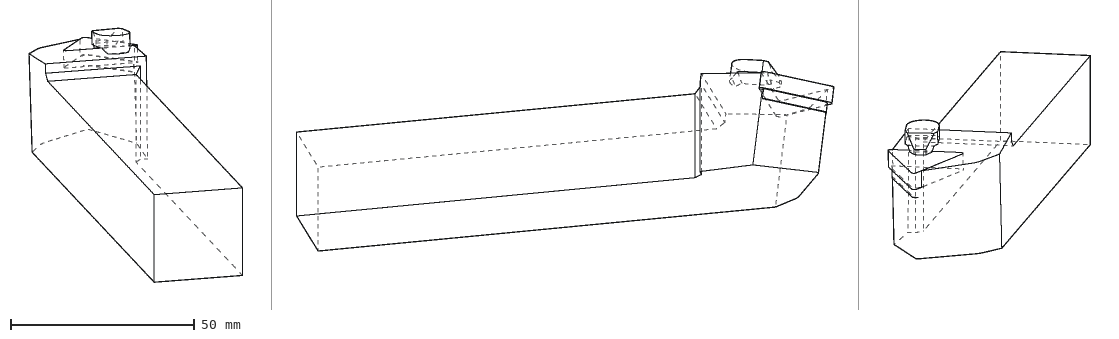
import cadquery as cq
import math

total_length = 150.0
shank_width = 25.0
shank_height = 25.0

rake_angle = 6.8
tip_height = 25.0
tip_y = 20.44
prism_depth = 40.0

insert_circle = 12.7
insert_thickness = 4.76
insert_corner = 0.8
insert_centre = insert_circle - insert_corner

shim_inset = 0.5
shim_thickness = 2.8
shim_corner = 1.1

lead_angle = 30.0
flank_setback = 0.95
relief_angle = 58.0
nose_radius = 0.8
shoulder_x = 10.9
shoulder_y = 4.8
shoulder_radius = 6.0
bevel_end_x = 18.3
flank_end_x = 17.4
rear_corner_y = 28.6

head_length = 35.6
step_wall = 2.6
step_slope_run = 2.3
side_step_y = 26.8

clamp_x = 24.45
clamp_y = 22.4
clamp_turn = 5.5
clamp_radius = 4.5
clamp_height = 5.1
clamp_shoulder = 4.95
clamp_reach = 9.5
clamp_nose_width = 3.2
clamp_nose_height = 1.5
clamp_slope_run = 3.3
clamp_gap = 1.5
clamp_pad = 2.3
clamp_pad_slope = 0.8
clamp_foot = 3.4

tilt = math.radians(rake_angle)
along_rake = cq.Vector(math.cos(tilt), 0, math.sin(tilt))
rake_normal = cq.Vector(-math.sin(tilt), 0, math.cos(tilt))


def rake_point(distance, across, height=0.0):
    """Point given by its distance behind the tip, its Y and its height over the rake face."""
    return cq.Vector(0, across, tip_height) + along_rake * distance + rake_normal * height


def rake_plane(distance=0.0, across=0.0, height=0.0):
    """Plane parallel to the rake face, with its X running rearwards."""
    return cq.Plane(rake_point(distance, across, height), along_rake, rake_normal)


def triangle_prism(inscribed, corner, thickness, depth):
    """Rounded triangle pointing forwards, with its top face at the depth below the rake face."""
    centre = rake_plane(insert_centre, tip_y, -depth)
    return (
        cq.Workplane(centre)
        .transformed(rotate=(0, 0, 180))
        .polygon(3, 2 * inscribed)
        .extrude(-thickness)
        .edges(cq.selectors.ParallelDirSelector(rake_normal))
        .fillet(corner)
    )


def make_insert():
    return triangle_prism(insert_circle, insert_corner, insert_thickness, 0)


def make_shim():
    shim_circle = insert_circle - 2 * shim_inset
    return triangle_prism(shim_circle, shim_corner, shim_thickness, insert_thickness)


def make_head_prism():
    """Head outline swept square to the rake face."""
    lead_slope = math.tan(math.radians(lead_angle))
    relief_slope = math.tan(math.radians(relief_angle))
    flank_y_at_tip = (
        tip_y + insert_corner * lead_slope - flank_setback / math.cos(math.radians(lead_angle))
    )
    relief_y_at_tip = shoulder_y + shoulder_x * relief_slope
    nose_x = (relief_y_at_tip - flank_y_at_tip) / (lead_slope + relief_slope)
    nose_y = flank_y_at_tip + nose_x * lead_slope
    flank_end_y = flank_y_at_tip + flank_end_x * lead_slope
    rear_slope = (rear_corner_y - flank_end_y) / (head_length - flank_end_x)
    sweep_end_x = head_length + shank_height * math.tan(tilt)
    sweep_end_y = flank_end_y + rear_slope * (sweep_end_x - flank_end_x)
    prism = (
        cq.Workplane(rake_plane())
        .moveTo(nose_x, nose_y)
        .lineTo(shoulder_x, shoulder_y)
        .lineTo(bevel_end_x, 0)
        .lineTo(sweep_end_x, 0)
        .lineTo(sweep_end_x, sweep_end_y)
        .lineTo(flank_end_x, flank_end_y)
        .close()
        .extrude(-prism_depth)
    )

    def upright_edge(x, y):
        return cq.selectors.NearestToPointSelector(rake_point(x, y, -prism_depth / 2).toTuple())

    prism = prism.edges(upright_edge(nose_x, nose_y)).fillet(nose_radius)
    return prism.edges(upright_edge(shoulder_x, shoulder_y)).fillet(shoulder_radius)


def make_head():
    """Head prism trimmed by the flat base and by the stepped rear."""
    top_corner = rake_point(head_length, 0)
    wall_foot = rake_point(head_length, 0, -step_wall)
    slope_end_x = wall_foot.x + step_slope_run
    side_trim = (
        cq.Workplane("XZ")
        .moveTo(0, 0)
        .lineTo(0, tip_height)
        .lineTo(top_corner.x, top_corner.z)
        .lineTo(wall_foot.x, wall_foot.z)
        .lineTo(slope_end_x, shank_height)
        .lineTo(slope_end_x, 0)
        .close()
        .extrude(-2 * shank_width)
    )
    plan_trim = (
        cq.Workplane("XY")
        .moveTo(0, 0)
        .lineTo(0, 2 * shank_width)
        .lineTo(wall_foot.x, 2 * shank_width)
        .lineTo(wall_foot.x, side_step_y)
        .lineTo(slope_end_x, shank_width)
        .lineTo(slope_end_x, 0)
        .close()
        .extrude(2 * shank_height)
    )
    return make_head_prism().intersect(side_trim).intersect(plan_trim)


def make_shank():
    start = rake_point(head_length, 0, -step_wall).x
    return cq.Workplane("XY").box(
        total_length - start, shank_width, shank_height, centered=False
    ).translate((start, 0, 0))


def make_clamp():
    """Bridge with a round rear foot and a tapered nose that rests on the insert."""
    base = cq.Workplane(rake_plane(clamp_x, clamp_y)).transformed(rotate=(0, 0, clamp_turn))
    plan = (
        base.moveTo(0, clamp_radius)
        .threePointArc((clamp_radius, 0), (0, -clamp_radius))
        .lineTo(-clamp_shoulder, -clamp_radius)
        .lineTo(-clamp_reach, -clamp_nose_width / 2)
        .lineTo(-clamp_reach, clamp_nose_width / 2)
        .lineTo(-clamp_shoulder, clamp_radius)
        .close()
        .extrude(clamp_height)
    )
    pad_end = clamp_pad - clamp_reach
    profile = (
        base.transformed(rotate=(90, 0, 0))
        .moveTo(-clamp_reach, 0)
        .lineTo(-clamp_reach, clamp_nose_height)
        .lineTo(clamp_slope_run - clamp_reach, clamp_height)
        .lineTo(clamp_radius, clamp_height)
        .lineTo(clamp_radius, 0)
        .lineTo(clamp_foot, 0)
        .lineTo(clamp_foot - clamp_gap, clamp_gap)
        .lineTo(pad_end + clamp_pad_slope, clamp_gap)
        .lineTo(pad_end, 0)
        .close()
        .extrude(clamp_radius, both=True)
    )
    return plan.intersect(profile)


insert = make_insert()
holder = make_shank().union(make_head()).cut(insert).union(make_shim()).union(make_clamp())

result = cq.Compound.makeCompound([holder.solids().val(), insert.solids().val()])